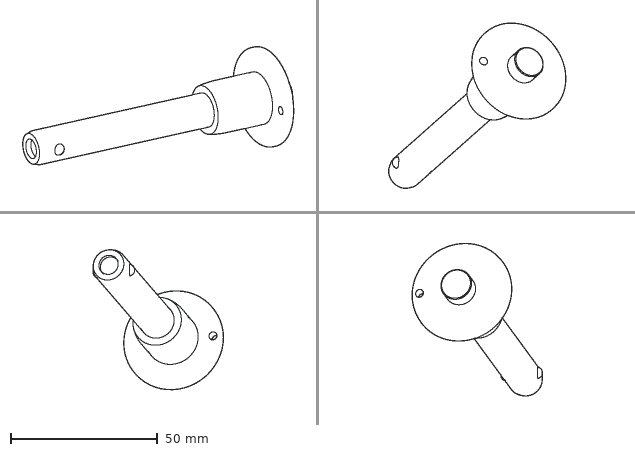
import cadquery as cq

total_length = 102.3
flange_back = 6.0
shoulder_middle = 6.8
rim_back = 8.1
rim_front = 9.0
flange_front = 10.7
taper_start = 26.9
body_front = 32.2
tip_chamfer_length = 2.1
ball_setback = 7.7

button_radius = 10.7 / 2
button_edge = 0.3
flange_radius = 34.7 / 2
flange_back_flat_radius = 13.5
shoulder_middle_radius = 16.4
flange_front_round = flange_front - rim_front
body_radius = 18.3 / 2
body_front_radius = 8.5
pin_radius = 12.0 / 2
tip_radius = 10.7 / 2

ball_radius = 2.0
ball_reach = 7.3
recess_radius = 6.8 / 2
recess_depth = 2.0
lanyard_hole_diameter = 2.8
lanyard_hole_offset = 14.3

button_end = total_length / 2
tip_end = button_end - total_length


def along(distance):
    """Y coordinate at a distance from the button end."""
    return button_end - distance


def make_button():
    length = flange_front
    button = cq.Workplane("XZ", origin=(0, button_end, 0)).circle(button_radius).extrude(length)
    return button.faces(">Y").chamfer(button_edge)


def make_flange():
    """Disc with a curved back shoulder and a rounded front edge."""
    diagonal = 0.5 ** 0.5
    front_round_center = flange_radius - flange_front_round
    front_round_middle = (
        front_round_center + flange_front_round * diagonal,
        along(rim_front + flange_front_round * diagonal),
    )
    profile = (
        cq.Workplane("XY")
        .moveTo(0, along(flange_front))
        .lineTo(front_round_center, along(flange_front))
        .threePointArc(front_round_middle, (flange_radius, along(rim_front)))
        .lineTo(flange_radius, along(rim_back))
        .spline(
            [
                (shoulder_middle_radius, along(shoulder_middle)),
                (flange_back_flat_radius, along(flange_back)),
            ],
            tangents=[(0, 1), (-1, 0)],
            includeCurrent=True,
        )
        .lineTo(0, along(flange_back))
        .close()
    )
    return profile.revolve(360, (0, 0, 0), (0, 1, 0))


def make_body():
    """Collar whose front end curves gently inward."""
    profile = (
        cq.Workplane("XY")
        .moveTo(0, along(flange_front))
        .lineTo(body_radius, along(flange_front))
        .lineTo(body_radius, along(taper_start))
        .tangentArcPoint((body_front_radius, along(body_front)), relative=False)
        .lineTo(0, along(body_front))
        .close()
    )
    return profile.revolve(360, (0, 0, 0), (0, 1, 0))


def make_pin():
    profile = (
        cq.Workplane("XY")
        .moveTo(0, along(body_front))
        .lineTo(pin_radius, along(body_front))
        .lineTo(pin_radius, tip_end + tip_chamfer_length)
        .lineTo(tip_radius, tip_end)
        .lineTo(0, tip_end)
        .close()
    )
    return profile.revolve(360, (0, 0, 0), (0, 1, 0))


def make_ball(side):
    center = (side * (ball_reach - ball_radius), tip_end + ball_setback, 0)
    return cq.Workplane("XY").sphere(ball_radius).translate(center)


result = make_button().union(make_flange()).union(make_body()).union(make_pin())
for side in (-1, 1):
    result = result.union(make_ball(side))

recess = cq.Workplane("XZ", origin=(0, tip_end + recess_depth, 0)).circle(recess_radius).extrude(recess_depth)
lanyard_hole = (
    cq.Workplane("XZ", origin=(lanyard_hole_offset, along(flange_back), 0))
    .circle(lanyard_hole_diameter / 2)
    .extrude(flange_front - flange_back)
)
result = result.cut(recess).cut(lanyard_hole)